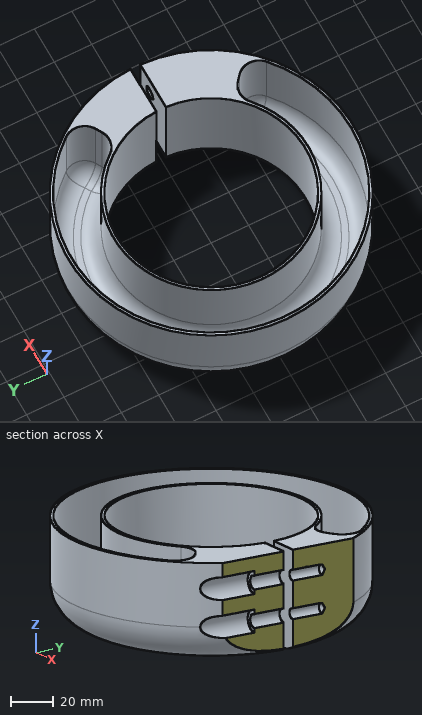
import cadquery as cq
import math

INCH = 25.4

OUTER_RADIUS = 3.0 * INCH
BORE_RADIUS = 50.4
HEIGHT = 2.0 * INCH
BOTTOM_EDGE_RADIUS = 0.75 * INCH
SPLIT_GAP = 0.2 * INCH

WALL = 1.6
CHANNEL_INNER_RADIUS = BORE_RADIUS + WALL
CHANNEL_OUTER_RADIUS = OUTER_RADIUS - WALL
CHANNEL_FILLET = 0.375 * INCH
CHANNEL_FLOOR_Z = 0.25 * INCH
CHANNEL_START_ANGLE = 30.0
CHANNEL_END_ANGLE = 320.0

SCREW_X = 66.5
SCREW_HEIGHTS = (0.75 * INCH, 1.5 * INCH)
HEAD_DIAMETER = 11.11
CLEARANCE_DIAMETER = 6.76
TAP_DIAMETER = 5.12
HEAD_SEAT_Y = -0.75 * INCH
TAP_END_Y = 0.75 * INCH
DRILL_POINT_ANGLE = 118.0


def ring_body():
    """Ring with a large round on its lower outer edge, split on the +X side."""
    body = (
        cq.Workplane("XY")
        .circle(OUTER_RADIUS)
        .circle(BORE_RADIUS)
        .extrude(HEIGHT)
    )
    split = cq.Workplane("XY").box(OUTER_RADIUS, SPLIT_GAP, HEIGHT, centered=(False, True, False))
    outer_bottom_edge = cq.selectors.RadiusNthSelector(-1)
    return body.cut(split).faces("<Z").edges(outer_bottom_edge).fillet(BOTTOM_EDGE_RADIUS)


def channel():
    """Sector of a ring with radial end walls; its corners and floor share one fillet."""
    return (
        cq.Workplane("XZ")
        .moveTo(CHANNEL_INNER_RADIUS, CHANNEL_FLOOR_Z)
        .lineTo(CHANNEL_OUTER_RADIUS, CHANNEL_FLOOR_Z)
        .lineTo(CHANNEL_OUTER_RADIUS, HEIGHT)
        .lineTo(CHANNEL_INNER_RADIUS, HEIGHT)
        .close()
        .revolve(CHANNEL_END_ANGLE - CHANNEL_START_ANGLE, (0, 0, 0), (0, 1, 0))
        .rotate((0, 0, 0), (0, 0, 1), CHANNEL_START_ANGLE)
        .edges("not(>Z)")
        .fillet(CHANNEL_FILLET)
    )


def screw_hole(height):
    """Counterbore, clearance hole and blind tapping hole with a drill point."""
    tap_radius = TAP_DIAMETER / 2
    point_depth = tap_radius / math.tan(math.radians(DRILL_POINT_ANGLE / 2))
    profile = [
        (0, -OUTER_RADIUS),
        (HEAD_DIAMETER / 2, -OUTER_RADIUS),
        (HEAD_DIAMETER / 2, HEAD_SEAT_Y),
        (CLEARANCE_DIAMETER / 2, HEAD_SEAT_Y),
        (CLEARANCE_DIAMETER / 2, 0),
        (tap_radius, 0),
        (tap_radius, TAP_END_Y),
        (0, TAP_END_Y + point_depth),
    ]
    return (
        cq.Workplane("XY")
        .polyline(profile)
        .close()
        .revolve(360, (0, 0, 0), (0, 1, 0))
        .translate((SCREW_X, 0, height))
    )


result = ring_body().cut(channel())
for screw_height in SCREW_HEIGHTS:
    result = result.cut(screw_hole(screw_height))